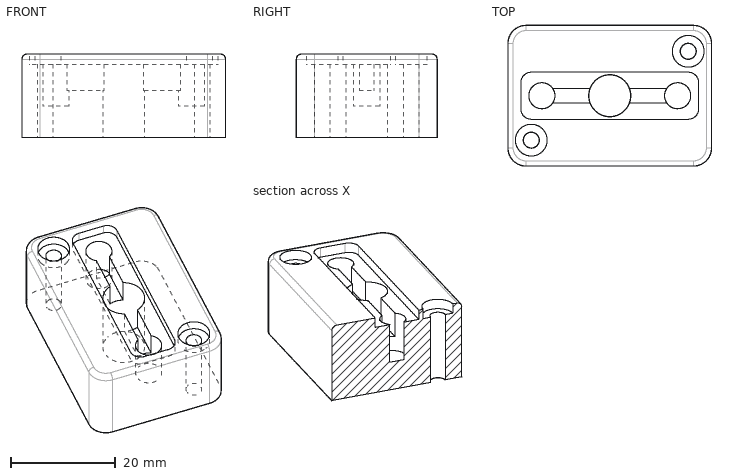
import cadquery as cq

length = 39.0
width = 27.0
height = 16.0
corner_radius = 3.5
top_edge_radius = 1.0

pocket_length = 34.0
pocket_width = 9.0
pocket_depth = 2.0
pocket_corner_radius = 2.0
pocket_floor = height - pocket_depth

bore_diameter = 8.0
recess_diameter = 5.0
recess_offset = 13.0
recess_depth = 8.0
slot_width = 2.7
slot_depth = 5.0

screw_x = 15.0
screw_y = 8.5
screw_diameter = 3.0
counterbore_diameter = 6.1
counterbore_depth = 2.0


def make_block():
    block = cq.Workplane("XY").box(length, width, height, centered=(True, True, False))
    block = block.edges("|Z").fillet(corner_radius)
    return block.faces(">Z").edges().fillet(top_edge_radius)


def cut_pocket(body):
    pocket = (
        cq.Workplane("XY", origin=(0, 0, pocket_floor))
        .rect(pocket_length, pocket_width)
        .extrude(pocket_depth)
        .edges("|Z")
        .fillet(pocket_corner_radius)
    )
    return body.cut(pocket)


def cut_bore_slot_and_recesses(body):
    floor_plane = cq.Workplane("XY", origin=(0, 0, pocket_floor))
    bore = floor_plane.circle(bore_diameter / 2).extrude(-pocket_floor)
    slot = floor_plane.rect(2 * recess_offset, slot_width).extrude(-slot_depth)
    recesses = (
        floor_plane.pushPoints([(-recess_offset, 0), (recess_offset, 0)])
        .circle(recess_diameter / 2)
        .extrude(-recess_depth)
    )
    return body.cut(bore).cut(slot).cut(recesses)


def cut_screw_holes(body):
    return (
        body.faces(">Z")
        .workplane(origin=(0, 0, height))
        .pushPoints([(-screw_x, -screw_y), (screw_x, screw_y)])
        .cboreHole(screw_diameter, counterbore_diameter, counterbore_depth)
    )


result = cut_screw_holes(cut_bore_slot_and_recesses(cut_pocket(make_block())))